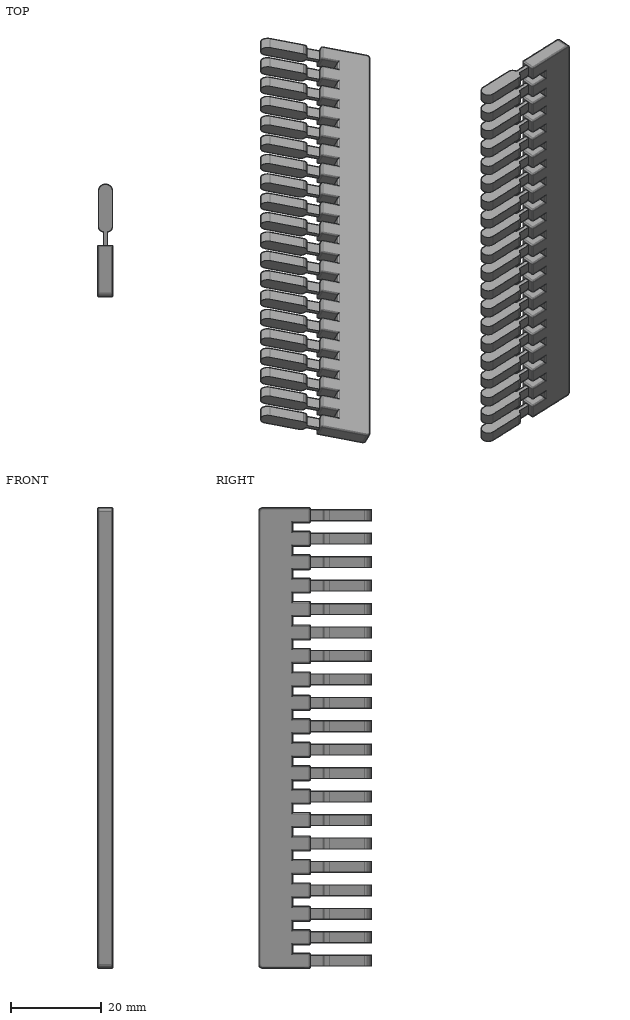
import cadquery as cq
import math

length = 102.2
depth = 25.0
thickness = 3.4

pin_count = 20
body_depth = 11.4
tooth_width = 3.4
tooth_length = 3.9
front_corner_radius = 0.8
edge_radius = 0.3

pin_width = 2.5
pin_offset = 0.05
blade_thickness = 3.2
blade_length = 9.4
neck_thickness = 0.9
shoulder_radius = 1.2
neck_fillet = 0.2
root_depth = 1.0

pitch = (length - tooth_width) / (pin_count - 1)
slot_width = pitch - tooth_width
first_pin_z = tooth_width / 2


def make_body():
    """Plate with open slots between its teeth and rounded outer edges."""
    body = cq.Workplane("XY").box(thickness, body_depth, length, centered=(True, False, False))
    body = body.edges("|X and <Y").fillet(front_corner_radius)
    for index in range(pin_count - 1):
        slot = (
            cq.Workplane("XY")
            .box(thickness, tooth_length, slot_width, centered=(True, False, False))
            .translate((0, body_depth - tooth_length, tooth_width + index * pitch))
        )
        body = body.cut(slot)
    body = body.edges("|X and >Y").fillet(edge_radius)
    return body.faces("<X or >X").edges().fillet(edge_radius)


def make_pin():
    """Pin centred on Z = 0: neck, S-shaped shoulders, then a blade with a semicircular tip."""
    half_blade = blade_thickness / 2
    half_neck = neck_thickness / 2
    root_y = body_depth - root_depth
    shoulder_y = depth - blade_length
    tip_start_y = depth - half_blade

    centre_distance = shoulder_radius + neck_fillet
    turn = math.acos(1 - (half_blade - half_neck) / centre_distance)
    meet_x = half_blade - shoulder_radius * (1 - math.cos(turn))
    meet_y = shoulder_y - shoulder_radius * math.sin(turn)
    neck_end_y = shoulder_y - centre_distance * math.sin(turn)

    return (
        cq.Workplane("XY")
        .workplane(offset=-pin_width / 2)
        .moveTo(-half_neck, root_y)
        .lineTo(half_neck, root_y)
        .lineTo(half_neck, neck_end_y)
        .radiusArc((meet_x, meet_y), neck_fillet)
        .radiusArc((half_blade, shoulder_y), -shoulder_radius)
        .lineTo(half_blade, tip_start_y)
        .threePointArc((0, depth), (-half_blade, tip_start_y))
        .lineTo(-half_blade, shoulder_y)
        .radiusArc((-meet_x, meet_y), -shoulder_radius)
        .radiusArc((-half_neck, neck_end_y), neck_fillet)
        .close()
        .extrude(pin_width)
    )


result = make_body()
pin = make_pin()
for index in range(pin_count):
    result = result.union(pin.translate((pin_offset, 0, first_pin_z + index * pitch)))